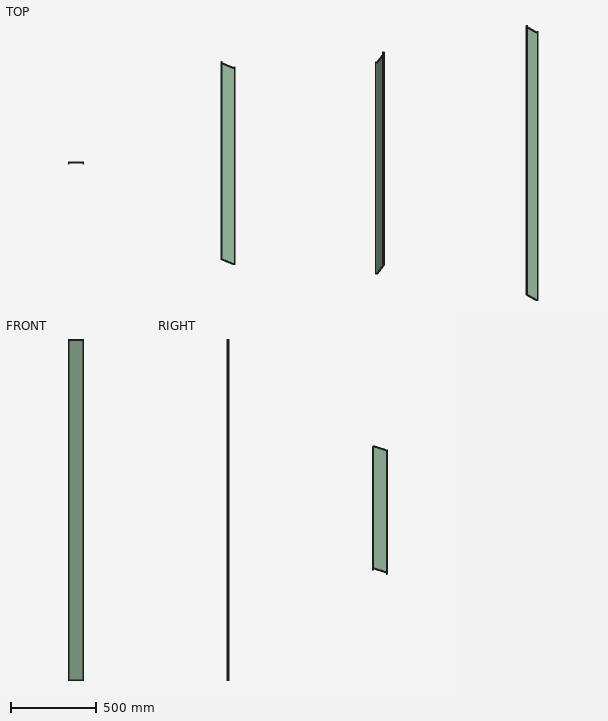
import cadquery as cq

length = 2000.0
width = 87.0
depth = 10.0

wall = 1.5
outer_bend_radius = 2.0
inner_bend_radius = outer_bend_radius - wall


def rounded_bar(bar_width, radius):
    """Bar along Z, as deep and long as the part, with its two +Y long edges rounded."""
    bar = cq.Workplane("XY").box(bar_width, depth, length)
    return bar.edges(">Y and |Z").fillet(radius)


def channel():
    """U-shaped channel along Z: the web lies on the +Y side and the flanges point to -Y."""
    body = rounded_bar(width, outer_bend_radius)
    hollow = rounded_bar(width - 2 * wall, inner_bend_radius).translate((0, -wall, 0))
    return body.cut(hollow)


result = channel()